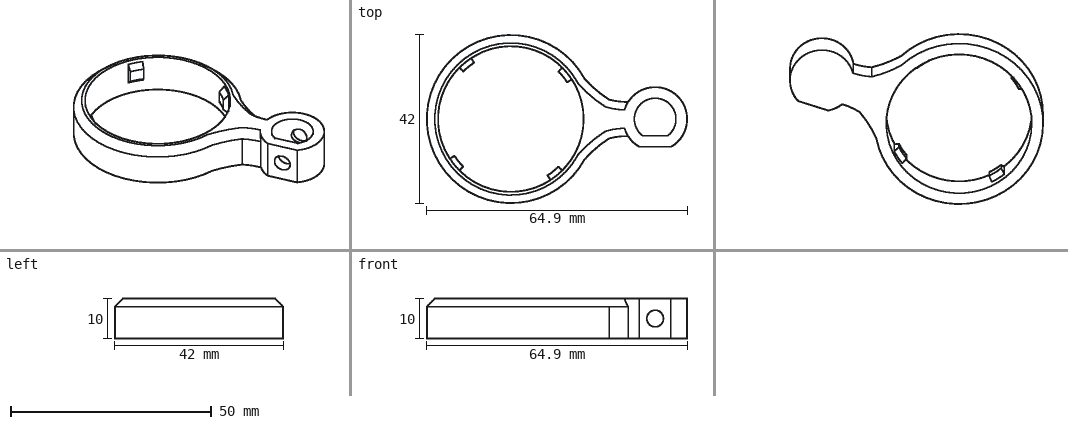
import cadquery as cq
import math

height = 10.0
wall_chamfer = 2.0

ring_radius = 21.0
ring_bore_diameter = 36.2

boss_radius = 8.0
boss_x = 64.9 - ring_radius - boss_radius
boss_flat_y = -6.95
socket_radius = 5.2
socket_wall = boss_radius - socket_radius
socket_flat_y = boss_flat_y + socket_wall
socket_floor = 2.0

screw_diameter = 4.15
screw_end_y = socket_radius + 1.0

neck_angle = math.radians(28.6)
neck_start = (ring_radius * math.cos(neck_angle), ring_radius * math.sin(neck_angle))
flare_middle = (21.2, 7.3)
flare_end = (24.5, 4.9)
waist_middle = (26.8, 4.4)
neck_end = (29.35, 4.3)

lug_count = 4
lug_first_angle = 39
lug_span_angle = 12
lug_tip_radius = 16.75
lug_root_radius = ring_bore_diameter / 2 + 0.3
lug_tip_height = 3.0
lug_middle_z = 6.1


def mirrored(point):
    return (point[0], -point[1])


def ring_and_neck():
    """Ring and neck with one chamfer along their shared top edge."""
    outline = (
        cq.Workplane("XY")
        .moveTo(*neck_start)
        .threePointArc(flare_middle, flare_end)
        .threePointArc(waist_middle, neck_end)
        .lineTo(boss_x, neck_end[1])
        .lineTo(boss_x, -neck_end[1])
        .lineTo(*mirrored(neck_end))
        .threePointArc(mirrored(waist_middle), mirrored(flare_end))
        .threePointArc(mirrored(flare_middle), mirrored(neck_start))
        .threePointArc((-ring_radius, 0), neck_start)
        .close()
    )
    straight_height = height - wall_chamfer
    base = outline.extrude(straight_height)
    top_outline = base.faces(">Z").wires().toPending().workplane()
    sloped_top = top_outline.extrude(wall_chamfer, taper=45, combine=False)
    return base.union(sloped_top)


def flatted_cylinder(radius, flat_y, bottom_z):
    """Upright cylinder on the boss axis, cut flat on its -Y side, up to the top."""
    half_flat = math.sqrt(radius**2 - flat_y**2)
    return (
        cq.Workplane("XY", origin=(boss_x, 0, bottom_z))
        .moveTo(-half_flat, flat_y)
        .lineTo(half_flat, flat_y)
        .threePointArc((0, radius), (-half_flat, flat_y))
        .close()
        .extrude(height - bottom_z)
    )


def screw_hole():
    return (
        cq.Workplane("XZ", origin=(boss_x, screw_end_y, height / 2))
        .circle(screw_diameter / 2)
        .extrude(screw_end_y - boss_flat_y)
    )


def lug(angle):
    """Arc-shaped lug with 45 degree slopes above and below, its root buried in the ring wall."""
    half_tip = lug_tip_height / 2
    half_root = half_tip + lug_root_radius - lug_tip_radius
    return (
        cq.Workplane("XZ")
        .polyline([
            (lug_tip_radius, lug_middle_z - half_tip),
            (lug_root_radius, lug_middle_z - half_root),
            (lug_root_radius, lug_middle_z + half_root),
            (lug_tip_radius, lug_middle_z + half_tip),
        ])
        .close()
        .revolve(lug_span_angle, (0, 0), (0, 1))
        .rotate((0, 0, 0), (0, 0, 1), angle - lug_span_angle / 2)
    )


ring_bore = cq.Workplane("XY").circle(ring_bore_diameter / 2).extrude(height)

result = (
    ring_and_neck()
    .cut(ring_bore)
    .union(flatted_cylinder(boss_radius, boss_flat_y, 0))
    .cut(flatted_cylinder(socket_radius, socket_flat_y, socket_floor))
    .cut(screw_hole())
)
for index in range(lug_count):
    result = result.union(lug(lug_first_angle + index * 360 / lug_count))